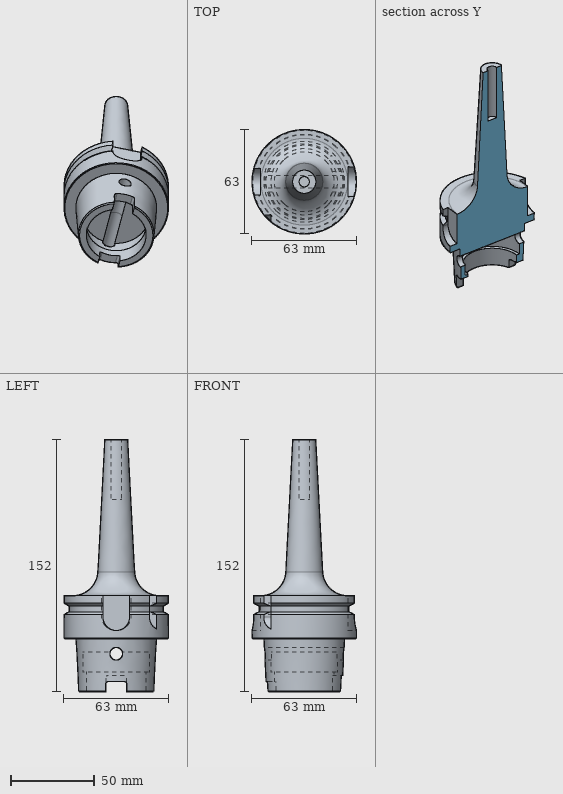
import cadquery as cq
import math

shank_length = 32.0
flange_height = 26.0
tip_height = 120.0

shank_top_radius = 24.35
taper_slope = 1 / 20
shank_bottom_radius = shank_top_radius - shank_length * taper_slope
shank_chamfer_width = 0.7
shank_chamfer_height = 0.7
shank_mouth_radius = 18.0
shank_mouth_depth = 12.0
shank_cavity_radius = 20.0
shank_cavity_depth = 24.0

flange_radius = 31.5
flange_chamfer_width = 0.5
flange_chamfer_height = 0.5
groove_center = 18.0
groove_floor_width = 3.5
groove_radius = 28.35
groove_shoulder_radius = 28.6
groove_flank_angle = math.radians(30)
groove_flank_height = (flange_radius - groove_shoulder_radius) * math.tan(groove_flank_angle)

tip_radius = 7.0
neck_angle = math.radians(3)
blend_radius = 15.0
tool_bore_diameter = 6.2
tool_bore_depth = 36.0

slot_floor_x = 26.4
slot_bottom = 5.0
narrow_slot_width = 16.0
wide_slot_width = 18.0
notch_wall = 20.0

drive_slot_width = 12.5
drive_slot_corner_radius = 1.5
shallow_drive_depth = 6.2
deep_drive_depth = 10.0
cross_hole_diameter = 7.5
cross_hole_z = -9.0


def make_body():
    """Revolve the outer profile of shank, flange, blend and neck about Z."""
    groove_floor_bottom = groove_center - groove_floor_width / 2
    groove_floor_top = groove_center + groove_floor_width / 2

    blend_center_z = flange_height + blend_radius
    blend_top_z = blend_center_z - blend_radius * math.sin(neck_angle)
    blend_top_radius = tip_radius + (tip_height - blend_top_z) * math.tan(neck_angle)
    blend_center_r = blend_top_radius + blend_radius * math.cos(neck_angle)
    middle_angle = (math.pi / 2 + neck_angle) / 2
    blend_middle = (
        blend_center_r - blend_radius * math.sin(middle_angle),
        blend_center_z - blend_radius * math.cos(middle_angle),
    )

    profile = (
        cq.Workplane("XZ")
        .moveTo(0, -shank_length)
        .lineTo(shank_bottom_radius - shank_chamfer_width, -shank_length)
        .lineTo(
            shank_bottom_radius + shank_chamfer_height * taper_slope,
            -shank_length + shank_chamfer_height,
        )
        .lineTo(shank_top_radius, 0)
        .lineTo(flange_radius - flange_chamfer_width, 0)
        .lineTo(flange_radius, flange_chamfer_height)
        .lineTo(flange_radius, groove_floor_bottom - groove_flank_height)
        .lineTo(groove_shoulder_radius, groove_floor_bottom)
        .lineTo(groove_radius, groove_floor_bottom)
        .lineTo(groove_radius, groove_floor_top)
        .lineTo(groove_shoulder_radius, groove_floor_top)
        .lineTo(flange_radius, groove_floor_top + groove_flank_height)
        .lineTo(flange_radius, flange_height)
        .lineTo(blend_center_r, flange_height)
        .threePointArc(blend_middle, (blend_top_radius, blend_top_z))
        .lineTo(tip_radius, tip_height)
        .lineTo(0, tip_height)
        .close()
    )
    return profile.revolve(360, (0, 0, 0), (0, 1, 0))


def shank_bore():
    """Stepped blind bore: a narrower mouth opening into a wider cavity."""
    shank_end = cq.Workplane("XY", origin=(0, 0, -shank_length))
    mouth = shank_end.circle(shank_mouth_radius).extrude(shank_mouth_depth)
    cavity = (
        shank_end.workplane(offset=shank_mouth_depth)
        .circle(shank_cavity_radius)
        .extrude(shank_cavity_depth - shank_mouth_depth)
    )
    return mouth.union(cavity)


def tool_bore():
    """Blind bore for the tool, sunk from the tip of the neck."""
    tip_face = cq.Workplane("XY", origin=(0, 0, tip_height))
    return tip_face.circle(tool_bore_diameter / 2).extrude(-tool_bore_depth)


def flange_slot(side, floor_x, center_y, width):
    """Slot open outward along X and upward, with a full-round lower end."""
    radius = width / 2
    straight_start = slot_bottom + radius
    return (
        cq.Workplane("YZ", origin=(side * floor_x, 0, 0))
        .moveTo(center_y - radius, flange_height)
        .lineTo(center_y - radius, straight_start)
        .threePointArc((center_y, slot_bottom), (center_y + radius, straight_start))
        .lineTo(center_y + radius, flange_height)
        .close()
        .extrude(side * flange_radius)
    )


def drive_slot(side, depth):
    """Slot through one shank wall, open at the lower end, with rounded top corners."""
    return (
        cq.Workplane("XY", origin=(0, 0, -shank_length))
        .center(side * shank_top_radius / 2, 0)
        .box(shank_top_radius, drive_slot_width, depth, centered=(True, True, False))
        .edges("|X and >Z")
        .fillet(drive_slot_corner_radius)
    )


def cross_hole():
    """Round hole through both shank walls along X."""
    return (
        cq.Workplane("YZ", origin=(0, 0, cross_hole_z))
        .circle(cross_hole_diameter / 2)
        .extrude(shank_top_radius, both=True)
    )


notch_center_y = -notch_wall - narrow_slot_width / 2
cutters = [
    shank_bore(),
    tool_bore(),
    flange_slot(-1, slot_floor_x, 0, narrow_slot_width),
    flange_slot(1, slot_floor_x, 0, wide_slot_width),
    flange_slot(-1, notch_wall, notch_center_y, narrow_slot_width),
    drive_slot(-1, shallow_drive_depth),
    drive_slot(1, deep_drive_depth),
    cross_hole(),
]

result = make_body()
for cutter in cutters:
    result = result.cut(cutter)